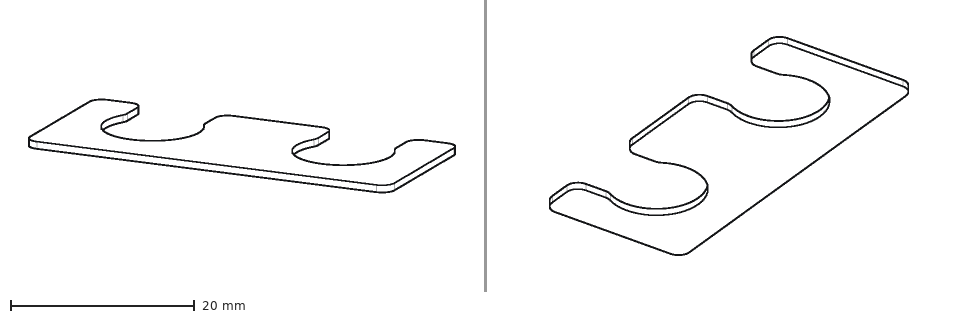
import cadquery as cq

length = 43.7
width = 18.3
thickness = 0.85
corner_radius = 1.5

notch_offset = 11.45
seat_center_y = 10.7 - width / 2
seat_radius = 5.6
mouth_width = 9.35
mouth_blend_radius = 1.5

selection_margin = 0.2


def notch(center_x):
    """Round seat with a narrower mouth running out through the +Y edge."""
    mouth_length = width / 2 - seat_center_y
    mouth = (
        cq.Workplane("XY")
        .center(center_x, seat_center_y + mouth_length / 2)
        .rect(mouth_width, mouth_length)
        .extrude(thickness)
    )
    seat = (
        cq.Workplane("XY")
        .center(center_x, seat_center_y)
        .circle(seat_radius)
        .extrude(thickness)
    )
    return seat.union(mouth)


def throat_edges(center_x):
    """Select the vertical edges where the mouth walls meet the round seat."""
    throat_y = seat_center_y + (seat_radius**2 - (mouth_width / 2) ** 2) ** 0.5
    margin = selection_margin
    half_span = mouth_width / 2 + margin
    return cq.selectors.BoxSelector(
        (center_x - half_span, throat_y - margin, -margin),
        (center_x + half_span, throat_y + margin, thickness + margin),
    )


plate = cq.Workplane("XY").box(length, width, thickness, centered=(True, True, False))
notch_centers = (-notch_offset, notch_offset)
for x in notch_centers:
    plate = plate.cut(notch(x))

plate = plate.edges("|Z and (>Y or <Y)").fillet(corner_radius)
for x in notch_centers:
    plate = plate.edges("|Z").edges(throat_edges(x)).fillet(mouth_blend_radius)

result = plate